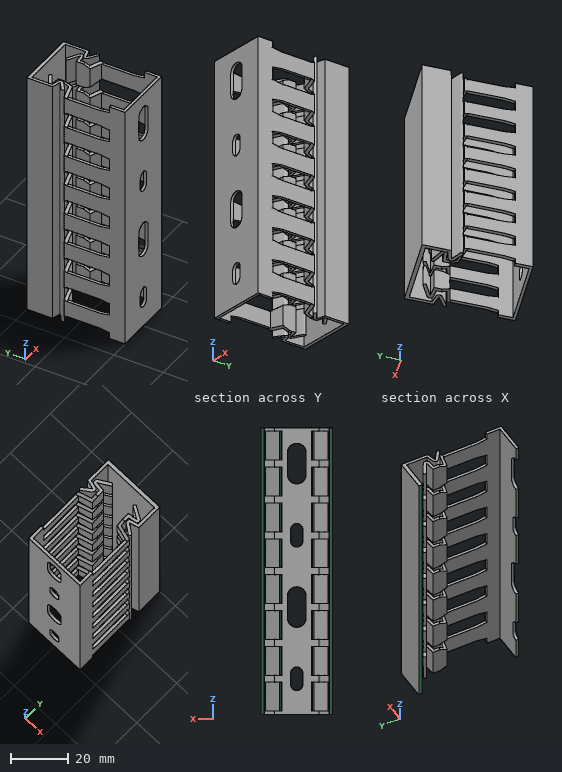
import cadquery as cq
import math

LENGTH = 100.0
WIDTH = 25.0
HEIGHT = 40.0
WALL = 1.2
ROOF_THICKNESS = 1.5
TIP_RADIUS = 0.5

SIDE_X = WIDTH / 2 - WALL / 2
FLOOR_Y = WALL / 2
ROOF_Y = HEIGHT - WALL / 2

TROUGH_BEND = (11.5, 31.0)
TROUGH_PATH = [
    (0, FLOOR_Y),
    (SIDE_X, FLOOR_Y),
    (SIDE_X, 24.3),
    (6.6, 25.7),
    (6.6, 30.4),
    TROUGH_BEND,
    (5.3, 34.6),
]

COVER_BEND = (7.6, 28.7)
COVER_PATH = [
    (0, ROOF_Y),
    (SIDE_X, ROOF_Y),
    (SIDE_X, 29.9),
    COVER_BEND,
    (12.3, 25.3),
]

SLOT_PITCH = 12.5
SLOT_COUNT = 9
SLOT_WIDTH = 6.0
SLOT_FLOOR_WIDTH = 4.8
SLOT_NECK_WIDTH = 2.4
SLOT_FLOOR_Y = 6.4
SLOT_FULL_Y = 10.3
SLOT_TAPER_Y = 23.6
SLOT_NECK_Y = 28.0

HOLE_PITCH = 25.0
HOLE_COUNT = 4
WIDE_HOLE = (14.0, 6.4)
NARROW_HOLE = (8.1, 4.1)


def wall_side(path, offset):
    """Path moved sideways by offset, with mitred corners and square ends."""
    angles = [math.atan2(b[1] - a[1], b[0] - a[0]) for a, b in zip(path, path[1:])]
    before = angles[:1] + angles
    after = angles + angles[-1:]
    points = []
    for (x, y), angle_in, angle_out in zip(path, before, after):
        half_turn = math.remainder(angle_out - angle_in, 2 * math.pi) / 2
        normal = angle_in + half_turn + math.pi / 2
        reach = offset / math.cos(half_turn)
        points.append((x + reach * math.cos(normal), y + reach * math.sin(normal)))
    return points


def folded_profile(half_path, bend):
    """Symmetric folded wall along Z, with a round bend and a round-cornered tip."""
    outline = wall_side(half_path, WALL / 2) + wall_side(half_path, -WALL / 2)[::-1]
    half = cq.Workplane("XY").workplane(offset=-LENGTH / 2).polyline(outline).close().extrude(LENGTH)

    bend_index = half_path.index(bend)
    left_corner = wall_side(half_path, WALL / 2)[bend_index]
    right_corner = wall_side(half_path, -WALL / 2)[bend_index]
    before, after = half_path[bend_index - 1], half_path[bend_index + 1]
    inside = ((before[0] + after[0]) / 2, (before[1] + after[1]) / 2)
    outer_corner = max(left_corner, right_corner, key=lambda corner: math.dist(corner, inside))
    outer_edge = cq.selectors.NearestToPointSelector((*outer_corner, 0))
    half = half.edges("|Z").edges(outer_edge).fillet(WALL)

    for offset in (WALL / 2, -WALL / 2):
        tip_corner = wall_side(half_path, offset)[-1]
        tip_edge = cq.selectors.NearestToPointSelector((*tip_corner, 0))
        half = half.edges("|Z").edges(tip_edge).fillet(TIP_RADIUS)
    return half.union(half.mirror("YZ"))


def side_slot(z):
    """Cutter through both side walls: tapered floor, straight middle, narrow neck open at the top."""
    edge = [
        (SLOT_FLOOR_Y, SLOT_FLOOR_WIDTH / 2),
        (SLOT_FULL_Y, SLOT_WIDTH / 2),
        (SLOT_TAPER_Y, SLOT_WIDTH / 2),
        (SLOT_NECK_Y, SLOT_NECK_WIDTH / 2),
        (HEIGHT, SLOT_NECK_WIDTH / 2),
    ]
    upper = [(y, z + half_width) for y, half_width in edge]
    lower = [(y, z - half_width) for y, half_width in edge]
    return cq.Workplane("YZ").polyline(upper + lower[::-1]).close().extrude(WIDTH / 2, both=True)


def mounting_hole(z, size):
    """Round-ended cutter through the trough floor, long along Z."""
    hole_length, hole_width = size
    plane = cq.Workplane("XZ", origin=(0, 0, z))
    return plane.slot2D(hole_length, hole_width, 90).extrude(WALL, both=True)


def make_trough():
    trough = folded_profile(TROUGH_PATH, TROUGH_BEND)
    for index in range(SLOT_COUNT):
        trough = trough.cut(side_slot((index - (SLOT_COUNT - 1) / 2) * SLOT_PITCH))
    for index in range(HOLE_COUNT):
        size = WIDE_HOLE if index % 2 else NARROW_HOLE
        trough = trough.cut(mounting_hole((index - (HOLE_COUNT - 1) / 2) * HOLE_PITCH, size))
    return trough


def make_cover():
    cover = folded_profile(COVER_PATH, COVER_BEND)

    roof = cq.Workplane("XY").box(WIDTH, ROOF_THICKNESS, LENGTH)
    return cover.union(roof.translate((0, HEIGHT - ROOF_THICKNESS / 2, 0)))


trough = make_trough()
cover = make_cover()
result = cq.Compound.makeCompound([trough.solids().val(), cover.solids().val()])